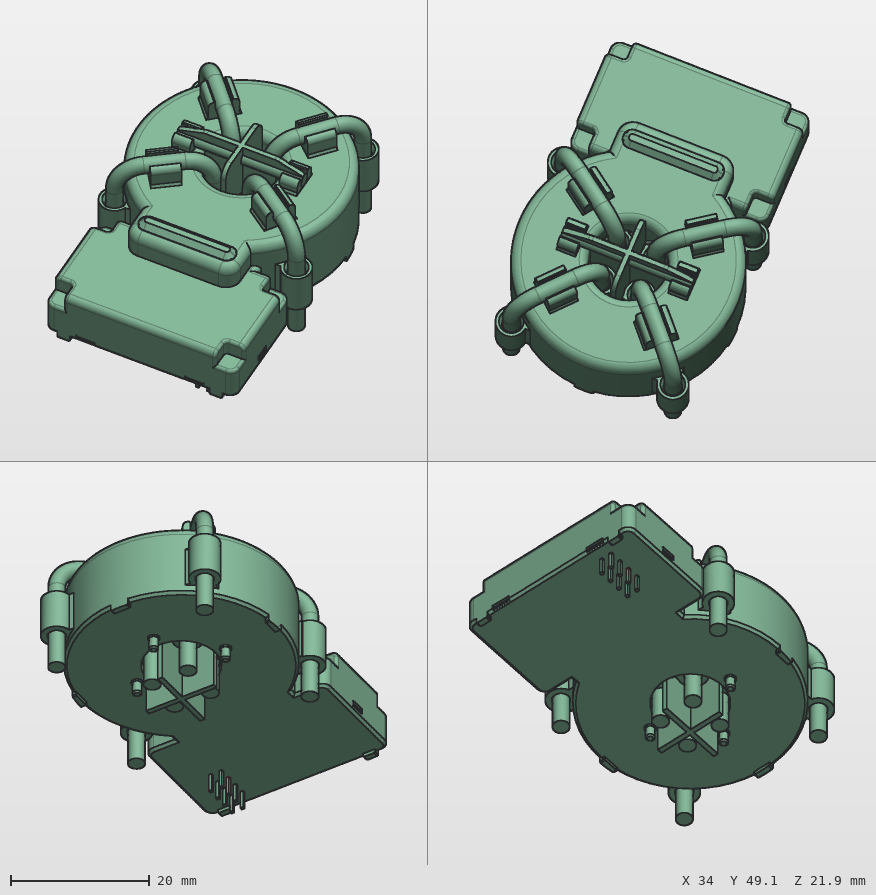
import cadquery as cq
import math

PART_TOP = 15.7
TOUCHING = 0.005

RING_RADIUS = 16.9
RING_HEIGHT = 12.2
RING_ROUND = 1.4
HOLE_RADIUS = 5.8
HOLE_ROUND = 1.3
NECK_HALF_WIDTH = 8.9
NECK_FRONT = -20.05
NECK_CORNER = 2.35
BASE_CHAMFER = 0.45

RIDGE_LENGTH = 15.55
RIDGE_WIDTH = 2.9
RIDGE_HEIGHT = 0.85
RIDGE_SLOPE = 0.95
RIDGE_RISE = 0.8
RIDGE_CORNER = 1.35
RIDGE_Y = -17.05

BOX_LENGTH = 30.7
BOX_HEIGHT = 8.25
BOX_BACK = -14.5
BOX_FRONT = -32.15
BOX_CORNER = 1.45
BOX_ROUND = 1.0
BRIDGE_HALF_WIDTH = 10.15
BRIDGE_BACK = -12.25
NOTCH_SIZE = 3.1
NOTCH_FLOOR = 5.55
NOTCH_CORNER = 0.6
NOTCH_ROUND = 0.5

POCKET_DEPTH = 0.4
FRONT_POCKET_X = 8.8
FRONT_POCKET_WIDTH = 3.05
FRONT_POCKET_BOTTOM = 0.3
FRONT_POCKET_TOP = 1.0
SIDE_POCKET_Y = -23.35
SIDE_POCKET_WIDTH = 2.35
SIDE_POCKET_BOTTOM = 1.15
SIDE_POCKET_TOP = 1.95
LATCH_WIDTH = 2.1
LATCH_SETBACK = 0.1
LATCH_SHOULDER = 1.45
LATCH_TOP = 1.85

FOOT_DROP = 0.65
FOOT_DEPTH = 0.9
FOOT_CHAMFER = 0.2
FOOT_ROOT = 0.5
BOX_FOOT_X = 12.3
BOX_FOOT_WIDTH = 2.05
RING_FOOT_WIDTH = 2.95
RING_FOOT_Y = 1.4

PEG_DIAMETER = 1.35
PEG_LENGTH = 2.15
PEG_CHAMFER = 0.25
PEG_FLARE = 0.2
PEG_CIRCLE_RADIUS = 7.5

PIN_SIZE = 0.5
PIN_BOTTOM = -2.95
PIN_COLUMNS_X = (8.15, 9.9)
PIN_FIRST_Y = -29.65
PIN_PITCH = 1.9
PIN_ROWS = 4

WIRE_DIAMETER = 2.5
WIRE_BOTTOM = -4.2
WIRE_BEND = 4.1
WIRE_AXIS_TOP = PART_TOP - WIRE_DIAMETER / 2
INNER_OFFSET = 3.05
REAR_END = (12.55, 13.75)
FRONT_END = (14.7, -11.4)

SLEEVE_DIAMETER = 4.6
SLEEVE_BORE = 2.7
SLEEVE_MOUTH = 3.6
SLEEVE_BOTTOM = 1.45
SLEEVE_TOP = 7.95
MOUTH_DEPTH = 1.0
REAR_WEB_CORNER = (13.1, 14.05)
FRONT_WEB_CORNER = (14.9, -12.2)
WEB_INNER = 8.85

INNER_WEB_X = 0.85
INNER_WEB_Y = 1.55
EMBED = 0.25
GUIDE_Y = 4.45
GUIDE_TOP_HALF_WIDTH = 2.2
GUIDE_SLOPE_DEPTH = 2.95

CLIP_LENGTH = 4.5
CLIP_HALF_WIDTH = 2.35
CLIP_FLARE = 0.3
CLIP_FLARE_HEIGHT = 0.45
CLIP_LEAD_IN = 0.2
CLIP_TOP = 15.6

PLATE_THICKNESS = 0.8
PLATE_HALF_WIDTH = 5.75
PLATE_BOTTOM = -6.15
PLATE_ROUND = 1.95
BAR_DIAMETER = 1.95
BAR_HALF_LENGTH = 10.15
BAR_AXIS_Z = RING_HEIGHT + BAR_DIAMETER / 2
BLADE_SHOULDER_X = 5.85
BLADE_END_Z = 14.3

BAR_CLIP_LENGTH = 2.95
BAR_CLIP_HALF_WIDTH = 2.2
BAR_CLIP_TOP = 14.45

WIRES = []
for side in (-1, 1):
    for end, corner in ((REAR_END, REAR_WEB_CORNER), (FRONT_END, FRONT_WEB_CORNER)):
        inner_end = (side * INNER_OFFSET, math.copysign(INNER_OFFSET, end[1]))
        WIRES.append((inner_end, (side * end[0], end[1]), (side * corner[0], corner[1])))


def block(x_range, y_range, z_range):
    """Axis-aligned block between two limits along each axis, given in any order."""
    lows = [min(r) for r in (x_range, y_range, z_range)]
    sizes = [abs(r[1] - r[0]) for r in (x_range, y_range, z_range)]
    return cq.Workplane("XY").box(*sizes, centered=False).translate(tuple(lows))


def box_selector(*ranges):
    """Selector for edges that lie completely between two limits along each axis, limits included."""
    lows = [min(r) - TOUCHING for r in ranges]
    highs = [max(r) + TOUCHING for r in ranges]
    return cq.selectors.BoxSelector(lows, highs, boundingbox=True)


def cylinder(point, diameter, bottom, top):
    """Upright cylinder at a point of the XY plane."""
    return cq.Workplane("XY", origin=(*point, bottom)).circle(diameter / 2).extrude(top - bottom)


def ring_with_neck():
    """Round body and the neck that reaches over the box, rounded along the top."""
    neck = block((-NECK_HALF_WIDTH, NECK_HALF_WIDTH), (NECK_FRONT, 0), (0, RING_HEIGHT))
    neck = neck.edges("|Z and <Y").fillet(NECK_CORNER)
    ring = cylinder((0, 0), 2 * RING_RADIUS, 0, RING_HEIGHT)
    return ring.union(neck).faces(">Z").edges().fillet(RING_ROUND)


def ridge():
    """Sloped bar on top of the neck."""
    base = cq.Workplane("XY", origin=(0, RIDGE_Y, RING_HEIGHT)).rect(RIDGE_LENGTH, RIDGE_WIDTH)
    bar = base.extrude(RIDGE_HEIGHT).edges("|Z").fillet(RIDGE_CORNER)
    return bar.faces(">Z").chamfer(RIDGE_RISE, RIDGE_SLOPE)


def terminal_box():
    """Box with rounded edges, four corner notches and a bridge to the ring."""
    half = BOX_LENGTH / 2
    body = block((-half, half), (BOX_FRONT, BOX_BACK), (0, BOX_HEIGHT)).edges("|Z").fillet(BOX_CORNER)
    bridge_y_range = (BOX_BACK - BOX_CORNER, BRIDGE_BACK)
    bridge = block((-BRIDGE_HALF_WIDTH, BRIDGE_HALF_WIDTH), bridge_y_range, (0, BOX_HEIGHT))
    body = body.union(bridge)
    body = body.faces(">Z").edges("not(>Y)").fillet(BOX_ROUND)
    for side in (-1, 1):
        x_range = (side * (half - NOTCH_SIZE), side * half)
        for y_range in ((BOX_BACK - NOTCH_SIZE, BOX_BACK), (BOX_FRONT + NOTCH_SIZE, BOX_FRONT)):
            body = notch_corner(body, x_range, y_range)
    return body


def notch_corner(body, x_range, y_range):
    """Cut one corner notch, with a rounded inner corner and rounded rims."""
    notch = block(x_range, y_range, (NOTCH_FLOOR, BOX_HEIGHT))
    inner_corner = cq.NearestToPointSelector((x_range[0], y_range[0], (NOTCH_FLOOR + BOX_HEIGHT) / 2))
    notch = notch.edges("|Z").edges(inner_corner).fillet(NOTCH_CORNER)
    skin = body.val().Shells()[0]
    notched = body.cut(notch)
    in_notch = box_selector(x_range, y_range, (NOTCH_FLOOR, BOX_HEIGHT))
    rims = [
        edge
        for edge in notched.edges(in_notch).vals()
        if skin.distance(cq.Vertex.makeVertex(*edge.positionAt(0.5).toTuple())) < TOUCHING
    ]
    return notched.newObject(rims).fillet(NOTCH_ROUND)


def wall_pockets():
    """Shallow pockets low in the front wall and in both side walls of the box."""
    half = BOX_LENGTH / 2
    tools = []
    for side in (-1, 1):
        x_centre = side * FRONT_POCKET_X
        x_range = (x_centre - FRONT_POCKET_WIDTH / 2, x_centre + FRONT_POCKET_WIDTH / 2)
        y_range = (BOX_FRONT, BOX_FRONT + POCKET_DEPTH)
        tools.append(block(x_range, y_range, (FRONT_POCKET_BOTTOM, FRONT_POCKET_TOP)))
        x_range = (side * half, side * (half - POCKET_DEPTH))
        y_range = (SIDE_POCKET_Y - SIDE_POCKET_WIDTH / 2, SIDE_POCKET_Y + SIDE_POCKET_WIDTH / 2)
        tools.append(block(x_range, y_range, (SIDE_POCKET_BOTTOM, SIDE_POCKET_TOP)))
    return tools


def side_latches():
    """Latch in each side pocket, with a vertical face below and a slope above it."""
    outer_x = BOX_LENGTH / 2 - LATCH_SETBACK
    inner_x = BOX_LENGTH / 2 - POCKET_DEPTH
    latch = (
        cq.Workplane("XZ", origin=(0, SIDE_POCKET_Y, 0))
        .polyline(
            [
                (inner_x, SIDE_POCKET_BOTTOM),
                (outer_x, SIDE_POCKET_BOTTOM),
                (outer_x, LATCH_SHOULDER),
                (inner_x, LATCH_TOP),
            ]
        )
        .close()
        .extrude(LATCH_WIDTH / 2, both=True)
    )
    return [latch, latch.mirror("YZ")]


def feet():
    """Feet below the walls: two at the front of the box and three around the ring."""
    z_range = (-FOOT_DROP, FOOT_ROOT)
    outline = cylinder((0, 0), 2 * RING_RADIUS, *z_range)
    parts = []
    for side in (-1, 1):
        x_centre = side * BOX_FOOT_X
        x_range = (x_centre - BOX_FOOT_WIDTH / 2, x_centre + BOX_FOOT_WIDTH / 2)
        foot = block(x_range, (BOX_FRONT, BOX_FRONT + FOOT_DEPTH), z_range)
        parts.append(foot.edges("|Y and <Z").chamfer(FOOT_CHAMFER))
        x_range = (side * (RING_RADIUS - FOOT_DEPTH), side * RING_RADIUS)
        y_range = (RING_FOOT_Y - RING_FOOT_WIDTH / 2, RING_FOOT_Y + RING_FOOT_WIDTH / 2)
        foot = block(x_range, y_range, z_range)
        parts.append(foot.edges("|X and <Z").chamfer(FOOT_CHAMFER).intersect(outline))
    x_range = (-RING_FOOT_WIDTH / 2, RING_FOOT_WIDTH / 2)
    foot = block(x_range, (RING_RADIUS - FOOT_DEPTH, RING_RADIUS), z_range)
    parts.append(foot.edges("|Y and <Z").chamfer(FOOT_CHAMFER).intersect(outline))
    return parts


def pegs():
    """Three locating pegs around the hole, each with a flared root and a chamfered tip."""
    profile = (
        cq.Workplane("XZ")
        .polyline(
            [
                (0, 0),
                (PEG_DIAMETER / 2 + PEG_FLARE, 0),
                (PEG_DIAMETER / 2, -PEG_FLARE),
                (PEG_DIAMETER / 2, PEG_CHAMFER - PEG_LENGTH),
                (PEG_DIAMETER / 2 - PEG_CHAMFER, -PEG_LENGTH),
                (0, -PEG_LENGTH),
            ]
        )
        .close()
    )
    peg = profile.revolve()
    r = PEG_CIRCLE_RADIUS
    return [peg.translate((x, y, 0)) for x, y in ((-r, 0), (0, r), (r, 0))]


def contact_pins():
    """Two columns of thin square pins below the box."""
    half = PIN_SIZE / 2
    pins = []
    for x in PIN_COLUMNS_X:
        for row in range(PIN_ROWS):
            y = PIN_FIRST_Y + row * PIN_PITCH
            pins.append(block((x - half, x + half), (y - half, y + half), (PIN_BOTTOM, 0)))
    return pins


def sleeve_bore(point):
    """Bore of one sleeve with a conical mouth."""
    bore = cylinder(point, SLEEVE_BORE, SLEEVE_BOTTOM, SLEEVE_TOP)
    mouth_bottom = cq.Vector(*point, SLEEVE_TOP - MOUTH_DEPTH)
    mouth = cq.Solid.makeCone(SLEEVE_BORE / 2, SLEEVE_MOUTH / 2, MOUTH_DEPTH, mouth_bottom)
    return bore.union(cq.Workplane(mouth))


def outer_sleeve(point, corner):
    """Sleeve outside the ring with the square web that joins it to the ring, without its bore."""
    web_end = [math.copysign(WEB_INNER, c) for c in corner]
    web = block((corner[0], web_end[0]), (corner[1], web_end[1]), (SLEEVE_BOTTOM, SLEEVE_TOP))
    hole = cylinder((0, 0), 2 * HOLE_RADIUS, SLEEVE_BOTTOM, SLEEVE_TOP)
    return cylinder(point, SLEEVE_DIAMETER, SLEEVE_BOTTOM, SLEEVE_TOP).union(web.cut(hole))


def hole_filling():
    """Sleeves in the hole, their webs to its wall, and the two slotted guides of the separator."""
    z_range = (SLEEVE_BOTTOM, SLEEVE_TOP)
    guide_slot = (
        cq.Workplane("XZ")
        .polyline(
            [
                (-GUIDE_TOP_HALF_WIDTH, SLEEVE_TOP),
                (-PLATE_THICKNESS / 2, SLEEVE_TOP - GUIDE_SLOPE_DEPTH),
                (-PLATE_THICKNESS / 2, SLEEVE_BOTTOM),
                (PLATE_THICKNESS / 2, SLEEVE_BOTTOM),
                (PLATE_THICKNESS / 2, SLEEVE_TOP - GUIDE_SLOPE_DEPTH),
                (GUIDE_TOP_HALF_WIDTH, SLEEVE_TOP),
            ]
        )
        .close()
        .extrude(HOLE_RADIUS + EMBED, both=True)
    )
    outer_limit = HOLE_RADIUS + EMBED
    filling = cq.Workplane("XY")
    for y_side in (-1, 1):
        y_range = (y_side * GUIDE_Y, y_side * outer_limit)
        filling = filling.add(block((-INNER_OFFSET, INNER_OFFSET), y_range, z_range).cut(guide_slot))
        for x_side in (-1, 1):
            x_wall = x_side * outer_limit
            x_centre = x_side * INNER_OFFSET
            y_centre = y_side * INNER_OFFSET
            y_range = (y_side * INNER_WEB_Y, y_side * outer_limit)
            filling = filling.add(block((x_centre, x_wall), y_range, z_range))
            x_range = (x_side * INNER_WEB_X, x_centre)
            filling = filling.add(block(x_range, (y_centre, y_side * GUIDE_Y), z_range))
            filling = filling.add(cylinder((x_centre, y_centre), SLEEVE_DIAMETER, *z_range))
    return filling.combine().intersect(cylinder((0, 0), 2 * (HOLE_RADIUS + EMBED), *z_range))


def clip(length, half_width, top, gap, axis_z):
    """Clip along X on top of the ring: two posts joined up to axis_z, with a gap between them above."""
    rounding = half_width - gap - CLIP_LEAD_IN
    post = (
        cq.Workplane("YZ")
        .moveTo(0, RING_HEIGHT)
        .lineTo(half_width + CLIP_FLARE, RING_HEIGHT)
        .lineTo(half_width, RING_HEIGHT + CLIP_FLARE_HEIGHT)
        .lineTo(half_width, top - rounding)
        .tangentArcPoint((-rounding, rounding))
        .lineTo(gap, top - CLIP_LEAD_IN)
        .lineTo(gap, axis_z)
        .lineTo(0, axis_z)
        .close()
        .extrude(length / 2, both=True)
    )
    return post.union(post.mirror("XZ"))


def wire_direction(start, end):
    """Horizontal distance between the two ends of a wire and its direction in degrees."""
    dx = end[0] - start[0]
    dy = end[1] - start[1]
    return math.hypot(dx, dy), math.degrees(math.atan2(dy, dx))


def wire(start, end):
    """Round wire that rises at one end, bends over the ring and drops at the other end."""
    span, angle = wire_direction(start, end)
    path = (
        cq.Workplane("XZ")
        .moveTo(0, WIRE_BOTTOM)
        .lineTo(0, WIRE_AXIS_TOP - WIRE_BEND)
        .tangentArcPoint((WIRE_BEND, WIRE_BEND))
        .lineTo(span - WIRE_BEND, WIRE_AXIS_TOP)
        .tangentArcPoint((WIRE_BEND, -WIRE_BEND))
        .lineTo(span, WIRE_BOTTOM)
    )
    shape = cq.Workplane("XY", origin=(0, 0, WIRE_BOTTOM)).circle(WIRE_DIAMETER / 2).sweep(path)
    return shape.rotate((0, 0, 0), (0, 0, 1), angle).translate((*start, 0))


def wire_clip(start, end):
    """Clip under the middle of a wire."""
    angle = wire_direction(start, end)[1]
    shape = clip(CLIP_LENGTH, CLIP_HALF_WIDTH, CLIP_TOP, WIRE_DIAMETER / 2, WIRE_AXIS_TOP)
    middle = ((start[0] + end[0]) / 2, (start[1] + end[1]) / 2, 0)
    return shape.rotate((0, 0, 0), (0, 0, 1), angle).translate(middle)


def separator_bar():
    """Round bar of the separator along X."""
    base = cq.Workplane("YZ", origin=(-BAR_HALF_LENGTH, 0, BAR_AXIS_Z)).circle(BAR_DIAMETER / 2)
    return base.extrude(2 * BAR_HALF_LENGTH)


def bar_clips():
    """Two clips that hold the ends of the separator bar."""
    shape = clip(BAR_CLIP_LENGTH, BAR_CLIP_HALF_WIDTH, BAR_CLIP_TOP, BAR_DIAMETER / 2, BAR_AXIS_Z)
    shape = shape.cut(separator_bar())
    x = BAR_HALF_LENGTH - BAR_CLIP_LENGTH / 2
    return [shape.translate((side * x, 0, 0)) for side in (-1, 1)]


def make_housing():
    """Housing with its sleeves, feet, pegs and pins, and the four wires held by its clips."""
    body = ring_with_neck().union(terminal_box())
    body = body.faces("<Z").edges().chamfer(BASE_CHAMFER)
    body = body.cut(cylinder((0, 0), 2 * HOLE_RADIUS, 0, RING_HEIGHT))
    hole_range = (-HOLE_RADIUS, HOLE_RADIUS)
    hole_rim = box_selector(hole_range, hole_range, (RING_HEIGHT, RING_HEIGHT))
    body = body.edges(hole_rim).fillet(HOLE_ROUND)
    for tool in wall_pockets():
        body = body.cut(tool)
    for part in (ridge(), *side_latches(), *feet(), *pegs(), *contact_pins(), *bar_clips()):
        body = body.union(part)
    body = body.union(hole_filling())
    for _, outer_end, corner in WIRES:
        body = body.union(outer_sleeve(outer_end, corner))
    for inner_end, outer_end, _ in WIRES:
        body = body.cut(sleeve_bore(inner_end)).cut(sleeve_bore(outer_end))
        body = body.union(wire_clip(inner_end, outer_end)).union(wire(inner_end, outer_end))
    return body.solids()


def make_separator():
    """Two crossed plates on a round bar."""
    cross_plate = block(
        (-PLATE_THICKNESS / 2, PLATE_THICKNESS / 2),
        (-PLATE_HALF_WIDTH, PLATE_HALF_WIDTH),
        (PLATE_BOTTOM, PART_TOP),
    )
    cross_plate = cross_plate.edges("|X and >Z").fillet(PLATE_ROUND)
    lower_plate = block(
        (-PLATE_HALF_WIDTH, PLATE_HALF_WIDTH),
        (-PLATE_THICKNESS / 2, PLATE_THICKNESS / 2),
        (PLATE_BOTTOM, BAR_AXIS_Z),
    )
    blade = (
        cq.Workplane("XZ")
        .polyline(
            [
                (-BAR_HALF_LENGTH, BAR_AXIS_Z),
                (-BAR_HALF_LENGTH, BLADE_END_Z),
                (-BLADE_SHOULDER_X, PART_TOP),
                (BLADE_SHOULDER_X, PART_TOP),
                (BAR_HALF_LENGTH, BLADE_END_Z),
                (BAR_HALF_LENGTH, BAR_AXIS_Z),
            ]
        )
        .close()
        .extrude(PLATE_THICKNESS / 2, both=True)
    )
    blade = blade.faces(">Z").edges("|Y").fillet(PLATE_ROUND)
    return separator_bar().union(blade).union(lower_plate).union(cross_plate).solids()


housing = make_housing()
separator = make_separator()
result = cq.Compound.makeCompound([housing.val(), separator.val()])